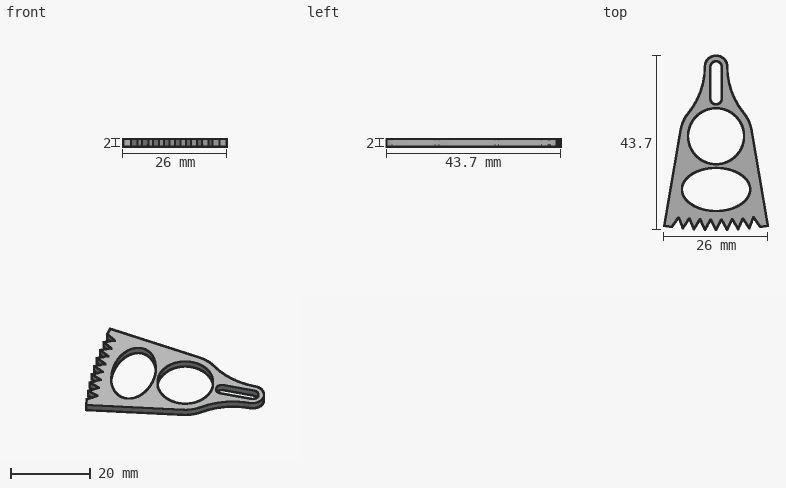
import cadquery as cq
import math

length = 43.7
width = 26.0
thickness = 2.0

finger_hole_radius = 7.0
shoulder_radius = 9.05

tip_radius = 2.85
tip_top_y = 20.2
tip_center_y = tip_top_y - tip_radius
slot_width = 2.8
slot_length = 10.75

oval_half_width = 8.5
oval_half_height = 5.38
oval_center_y = -13.35

point_arc_radius = 79.55
tooth_depth = 2.62
tooth_pitch = 2.0
teeth_per_side = 4
tooth_center_y = tip_top_y - length + point_arc_radius
root_arc_radius = point_arc_radius - tooth_depth


def on_circle(radius, angle, center=(0, 0)):
    """Point on a circle, with the angle in radians from +X."""
    return (center[0] + radius * math.cos(angle), center[1] + radius * math.sin(angle))


def on_tooth_arc(radius, angle):
    """Point on a tooth arc, with the angle in radians from straight down toward +X."""
    return on_circle(radius, angle - math.pi / 2, (0, tooth_center_y))


def mirrored(point):
    return (-point[0], point[1])


neck_radius = (tip_radius**2 + tip_center_y**2 - shoulder_radius**2) / (2 * (shoulder_radius - tip_radius))
neck_center = (tip_radius + neck_radius, tip_center_y)
neck_angle = math.atan2(neck_center[1], neck_center[0])
tip_side = (tip_radius, tip_center_y)
neck_middle = on_circle(neck_radius, math.pi + neck_angle / 2, neck_center)
neck_end = on_circle(shoulder_radius, neck_angle)

corner_angle = math.asin(width / 2 / point_arc_radius)
corner = on_tooth_arc(point_arc_radius, corner_angle)
corner_distance = math.hypot(*corner)
side_angle = math.atan2(corner[1], corner[0]) + math.acos(shoulder_radius / corner_distance)
shoulder_end = on_circle(shoulder_radius, side_angle)
shoulder_middle = on_circle(shoulder_radius, (neck_angle + side_angle) / 2)


def tooth_points():
    """Alternating tooth points and roots, from +X to -X."""
    points = []
    for step in range(2 * teeth_per_side, -2 * teeth_per_side - 1, -1):
        radius = point_arc_radius if step % 2 == 0 else root_arc_radius
        points.append(on_tooth_arc(radius, math.radians(step * tooth_pitch / 2)))
    return points


def make_blank():
    last_tooth_angle = math.radians(teeth_per_side * tooth_pitch)
    land_middle = on_tooth_arc(point_arc_radius, (corner_angle + last_tooth_angle) / 2)
    teeth = tooth_points()

    outline = cq.Workplane("XY").moveTo(*mirrored(tip_side))
    outline = outline.threePointArc((0, tip_top_y), tip_side)
    outline = outline.threePointArc(neck_middle, neck_end)
    outline = outline.threePointArc(shoulder_middle, shoulder_end)
    outline = outline.lineTo(*corner)
    outline = outline.threePointArc(land_middle, teeth[0])
    for point in teeth[1:]:
        outline = outline.lineTo(*point)
    outline = outline.threePointArc(mirrored(land_middle), mirrored(corner))
    outline = outline.lineTo(*mirrored(shoulder_end))
    outline = outline.threePointArc(mirrored(shoulder_middle), mirrored(neck_end))
    outline = outline.threePointArc(mirrored(neck_middle), mirrored(tip_side))
    return outline.close().extrude(thickness)


def make_openings():
    finger_hole = cq.Workplane("XY").circle(finger_hole_radius).extrude(thickness)
    oval = cq.Workplane("XY").center(0, oval_center_y)
    oval = oval.ellipse(oval_half_width, oval_half_height).extrude(thickness)
    slot_center_y = tip_center_y + slot_width / 2 - slot_length / 2
    slot = cq.Workplane("XY").center(0, slot_center_y)
    slot = slot.slot2D(slot_length, slot_width, 90).extrude(thickness)
    return finger_hole, oval, slot


result = make_blank()
for opening in make_openings():
    result = result.cut(opening)